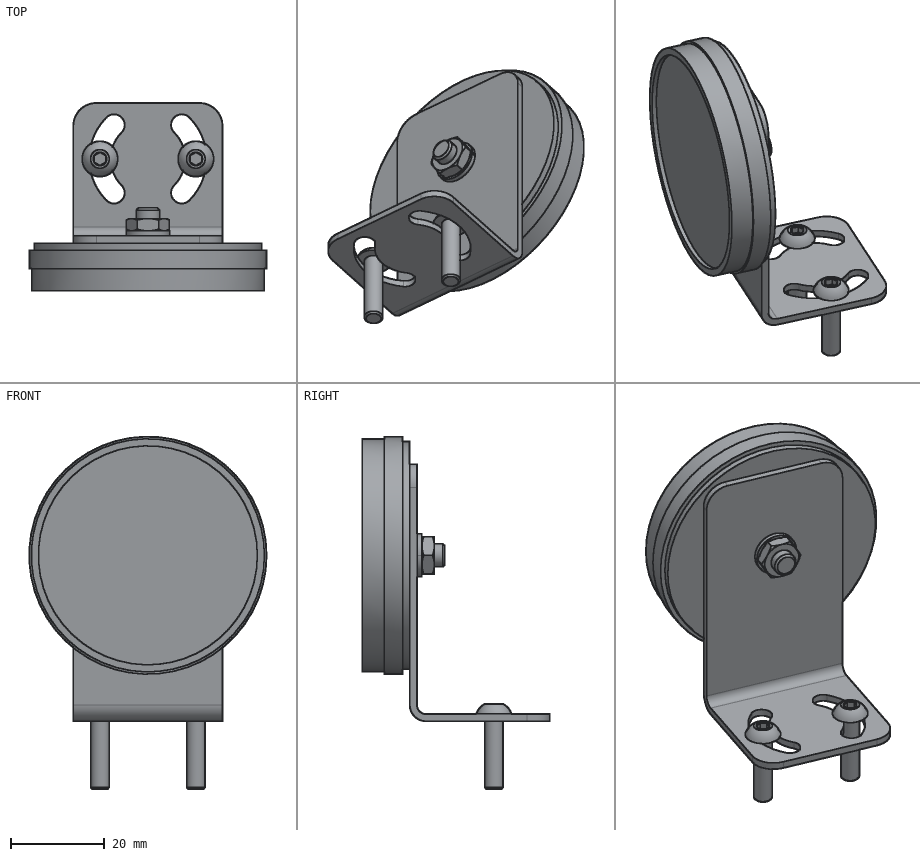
import cadquery as cq
import math


hexagon_half_angle = math.pi / 6

front_diameter = 49.8
rim_diameter = 50.8
back_diameter = 48.8
recess_diameter = 46.8
recess_depth = 1.0
front_length = 4.75
rim_length = 3.9
back_length = 1.5
stud_diameter = 5.0
stud_length = 7.55
stud_chamfer = 0.45

plate_thickness = 1.6
plate_width = 31.95
corner_radius = 5.0
inner_bend_radius = 1.95
outer_bend_radius = inner_bend_radius + plate_thickness
plate_top_z = 19.5
flange_top_z = -33.9
flange_bottom_z = flange_top_z - plate_thickness
overall_depth = 40.2
disc_depth = front_length + rim_length + back_length
flange_end_y = overall_depth - disc_depth

slot_center_y = 18.0
slot_arc_radius = 10.25
slot_width = 4.5
slot_half_angle = 45

washer_diameter = 9.3
washer_thickness = 1.05
washer_gap = 0.4
nut_across_flats = 8.0
nut_corner_diameter = nut_across_flats / math.cos(hexagon_half_angle)
nut_thickness = 2.65
nut_chamfer_angle = 30

overall_height = 75.4
screw_bottom_z = rim_diameter / 2 - overall_height
shank_diameter = 4.0
shank_chamfer = 0.4
head_diameter = 7.6
head_flat_diameter = 4.0
head_height = 2.2
socket_across_flats = 2.5
socket_corner_diameter = socket_across_flats / math.cos(hexagon_half_angle)
socket_depth = 1.6


def cylinder_along_y(diameter, start_y, length):
    """Cylinder on the disc axis that runs from start_y toward +Y."""
    start = cq.Workplane("XZ", origin=(0, start_y, 0))
    return start.circle(diameter / 2).extrude(-length)


def make_disc():
    front_y = -disc_depth
    rim_y = front_y + front_length
    back_y = rim_y + rim_length
    stud = cylinder_along_y(stud_diameter, 0, stud_length).faces(">Y").chamfer(stud_chamfer)
    disc = cylinder_along_y(front_diameter, front_y, front_length)
    disc = disc.union(cylinder_along_y(rim_diameter, rim_y, rim_length))
    disc = disc.union(cylinder_along_y(back_diameter, back_y, back_length))
    disc = disc.cut(cylinder_along_y(recess_diameter, front_y, recess_depth))
    return disc.union(stud)


def make_arc_slot(side):
    """Cutter for one slot, bowed outward on the given side (+1 or -1) of the flange."""
    inner_radius = slot_arc_radius - slot_width / 2
    outer_radius = slot_arc_radius + slot_width / 2
    cap_radius = slot_width / 2
    direction_x = side * math.cos(math.radians(slot_half_angle))
    direction_y = math.sin(math.radians(slot_half_angle))
    bulge_x = slot_arc_radius * direction_x - cap_radius * side * direction_y
    bulge_y = slot_arc_radius * direction_y + cap_radius * abs(direction_x)
    return (
        cq.Workplane("XY", origin=(0, slot_center_y, flange_bottom_z))
        .moveTo(outer_radius * direction_x, -outer_radius * direction_y)
        .threePointArc(
            (side * outer_radius, 0),
            (outer_radius * direction_x, outer_radius * direction_y),
        )
        .threePointArc((bulge_x, bulge_y), (inner_radius * direction_x, inner_radius * direction_y))
        .threePointArc(
            (side * inner_radius, 0),
            (inner_radius * direction_x, -inner_radius * direction_y),
        )
        .threePointArc((bulge_x, -bulge_y), (outer_radius * direction_x, -outer_radius * direction_y))
        .close()
        .extrude(plate_thickness)
    )


def make_bracket():
    profile = (
        cq.Workplane("YZ", origin=(-plate_width / 2, 0, 0))
        .moveTo(0, plate_top_z)
        .lineTo(0, flange_bottom_z)
        .lineTo(flange_end_y, flange_bottom_z)
        .lineTo(flange_end_y, flange_top_z)
        .lineTo(plate_thickness, flange_top_z)
        .lineTo(plate_thickness, plate_top_z)
        .close()
    )
    bracket = profile.extrude(plate_width)
    bracket = bracket.edges("|X and <Y and <Z").fillet(outer_bend_radius)
    inner_corner = cq.selectors.NearestToPointSelector((0, plate_thickness, flange_top_z))
    bracket = bracket.edges("|X").edges(inner_corner).fillet(inner_bend_radius)
    bracket = bracket.faces(">Z").edges("|Y").fillet(corner_radius)
    bracket = bracket.faces(">Y").edges("|Z").fillet(corner_radius)
    bracket = bracket.cut(cylinder_along_y(stud_diameter, 0, plate_thickness))
    for side in (-1, 1):
        bracket = bracket.cut(make_arc_slot(side))
    return bracket


def make_spring_washer():
    """Ring split on its -X side."""
    ring = cylinder_along_y(washer_diameter, plate_thickness, washer_thickness)
    ring = ring.cut(cylinder_along_y(stud_diameter, plate_thickness, washer_thickness))
    gap = cq.Workplane("XY").box(
        washer_diameter / 2, washer_thickness, washer_gap, centered=(False, False, True)
    )
    return ring.cut(gap.translate((-washer_diameter / 2, plate_thickness, 0)))


def make_nut():
    """Hexagon nut with corners on +X and -X, its corners chamfered at both ends."""
    start_y = plate_thickness + washer_thickness
    hexagon = (
        cq.Workplane("XZ", origin=(0, start_y, 0))
        .polygon(6, nut_corner_diameter)
        .extrude(-nut_thickness)
    )
    corner_reach = (nut_corner_diameter - nut_across_flats) / 2
    corner_drop = corner_reach * math.tan(math.radians(nut_chamfer_angle))
    envelope = cylinder_along_y(nut_corner_diameter, start_y, nut_thickness)
    envelope = envelope.faces("<Y or >Y").chamfer(corner_drop, corner_reach)
    nut = hexagon.intersect(envelope)
    return nut.cut(cylinder_along_y(stud_diameter, start_y, nut_thickness))


def make_screw(x):
    """Button-head screw with a hexagon socket, standing in the slot at the given X."""
    shank_radius = shank_diameter / 2
    head_radius = head_diameter / 2
    flat_radius = head_flat_diameter / 2
    head_top_z = flange_top_z + head_height
    sphere_offset = (flat_radius**2 + head_height**2 - head_radius**2) / (2 * head_height)
    sphere_radius = math.hypot(head_radius, sphere_offset)
    middle_height = head_height / 2
    middle_radius = math.sqrt(sphere_radius**2 - (middle_height - sphere_offset) ** 2)
    screw = (
        cq.Workplane("XZ")
        .moveTo(0, screw_bottom_z)
        .lineTo(shank_radius - shank_chamfer, screw_bottom_z)
        .lineTo(shank_radius, screw_bottom_z + shank_chamfer)
        .lineTo(shank_radius, flange_top_z)
        .lineTo(head_radius, flange_top_z)
        .threePointArc((middle_radius, flange_top_z + middle_height), (flat_radius, head_top_z))
        .lineTo(0, head_top_z)
        .close()
        .revolve(360, (0, 0, 0), (0, 1, 0))
    )
    socket_top = cq.Workplane("XY", origin=(0, 0, head_top_z))
    socket = socket_top.transformed(rotate=(0, 0, math.degrees(hexagon_half_angle))).polygon(6, socket_corner_diameter)
    screw = screw.cut(socket.extrude(-socket_depth))
    rim_radius = socket_corner_diameter / 2
    throat_radius = socket_across_flats / 2
    lead_in_depth = rim_radius - throat_radius
    lead_in = cq.Solid.makeCone(
        rim_radius,
        throat_radius,
        lead_in_depth,
        pnt=cq.Vector(0, 0, head_top_z),
        dir=cq.Vector(0, 0, -1),
    )
    screw = screw.cut(cq.Workplane(lead_in))
    return screw.translate((x, slot_center_y, 0))


disc = make_disc()
bracket = make_bracket()
spring_washer = make_spring_washer()
nut = make_nut()
screws = [make_screw(side * slot_arc_radius) for side in (-1, 1)]

result = cq.Compound.makeCompound(
    [
        disc.val(),
        bracket.val(),
        spring_washer.val(),
        nut.val(),
        *[screw.val() for screw in screws],
    ]
)